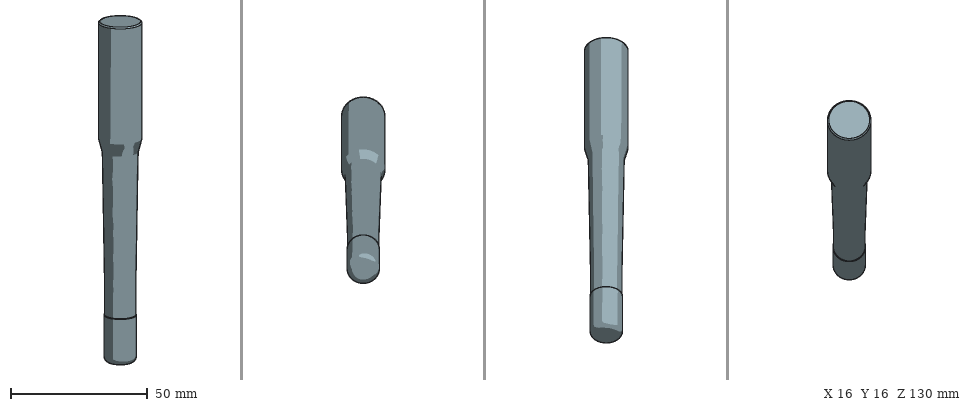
import cadquery as cq

total_length = 130.0
shank_diameter = 16.0
neck_top_diameter = 13.3
neck_bottom_diameter = 11.6
cutter_diameter = 12.0

cutter_length = 18.2
straight_neck_length = 9.8
tapered_neck_length = 52.3
shoulder_length = 5.1

tip_radius = 2.3
cutter_bevel_height = 0.3
shank_chamfer = 0.5

taper_start = cutter_length + straight_neck_length
shoulder_start = taper_start + tapered_neck_length
shank_start = shoulder_start + shoulder_length

shank_radius = shank_diameter / 2
neck_top_radius = neck_top_diameter / 2
neck_bottom_radius = neck_bottom_diameter / 2
cutter_radius = cutter_diameter / 2


def make_cutter():
    """Cutting end with a rounded tip and a bevel down from the neck."""
    profile = (
        cq.Workplane("XZ")
        .lineTo(cutter_radius - tip_radius, 0)
        .radiusArc((cutter_radius, tip_radius), -tip_radius)
        .lineTo(cutter_radius, cutter_length - cutter_bevel_height)
        .lineTo(neck_bottom_radius, cutter_length)
        .lineTo(0, cutter_length)
        .close()
    )
    return profile.revolve(360, (0, 0, 0), (0, 1, 0))


def make_holder():
    """Straight neck, tapered neck, conical shoulder and chamfered shank."""
    profile = (
        cq.Workplane("XZ")
        .moveTo(0, cutter_length)
        .lineTo(neck_bottom_radius, cutter_length)
        .lineTo(neck_bottom_radius, taper_start)
        .lineTo(neck_top_radius, shoulder_start)
        .lineTo(shank_radius, shank_start)
        .lineTo(shank_radius, total_length - shank_chamfer)
        .lineTo(shank_radius - shank_chamfer, total_length)
        .lineTo(0, total_length)
        .close()
    )
    return profile.revolve(360, (0, 0, 0), (0, 1, 0))


cutter = make_cutter()
holder = make_holder()

result = cq.Compound.makeCompound([cutter.val(), holder.val()])